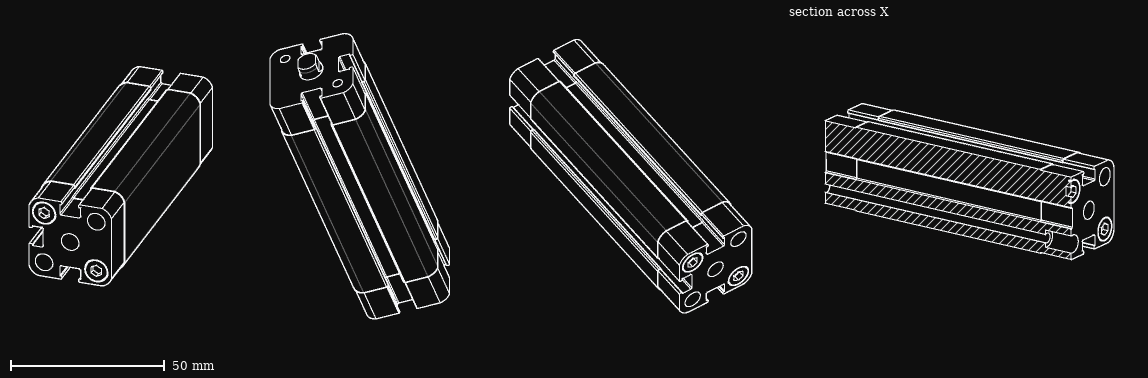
import cadquery as cq
import math

LENGTH = 102.5
FRONT_FACE = -LENGTH / 2
ROD_TIP = LENGTH / 2
ROD_LENGTH = 4.5
REAR_FACE = ROD_TIP - ROD_LENGTH
CAP_LENGTH = 12.3

BARREL_SIZE = 29.0
CAP_INSET = 0.26
CORNER_RADIUS = 4.8
CORNER_CENTRE = 9.8

SLOT_OUTER_HALF = 3.2
BARREL_MOUTH_HALF = 2.6
CAP_MOUTH_HALF = 2.9
SLOT_INNER_HALF = 3.6
LIP_TOP = 0.5
LIP_BOTTOM = 1.1
LIP_DEPTH = 1.4
SLOT_DEPTH = 4.9
SLOT_FLOOR_CHAMFER = 0.4
SLOT_ANGLES = (0, 90, 180)

BOLT_OFFSET = 9.0
THROUGH_DIAMETER = 3.3
BORE_DIAMETER = 6.0
BORE_DEPTH = 10.2
SCREW_BORE_DIAMETER = 8.0
SCREW_HEAD_DIAMETER = 7.5
SCREW_GAP_DEPTH = 1.0
HEX_CORNER_DIAMETER = 4.1
HEX_DEPTH = 2.0

ROD_RADIUS = 8.0 / 2
ROD_TIP_RADIUS = 3.6
ROD_TIP_ROUND_LENGTH = 1.3
FLAT_HALF_WIDTH = 6.0 / 2
FLAT_LENGTH = 3.3


def plane_at(y):
    """Section plane at y; local X is +X, local Y is +Z and negative extrusion runs toward +Y."""
    return cq.Workplane(cq.Plane(origin=(0, y, 0), xDir=(1, 0, 0), normal=(0, -1, 0)))


def bulged_square(start, length, inset):
    """Square prism whose corner arcs share their centres for every inset."""
    half = BARREL_SIZE / 2 - inset
    radius = CORNER_RADIUS - inset
    flat = CORNER_CENTRE + math.sqrt(radius**2 - (half - CORNER_CENTRE)**2)
    middle = CORNER_CENTRE + radius / math.sqrt(2)
    return (
        plane_at(start)
        .moveTo(-flat, half)
        .lineTo(flat, half)
        .threePointArc((middle, middle), (half, flat))
        .lineTo(half, -flat)
        .threePointArc((middle, -middle), (flat, -half))
        .lineTo(-flat, -half)
        .threePointArc((-middle, -middle), (-half, -flat))
        .lineTo(-half, flat)
        .threePointArc((-middle, middle), (-flat, half))
        .close()
        .extrude(-length)
    )


def slot_cutter(start, length, inset, rounded_lip):
    """Undercut slot in the top side; the lip at its mouth is rounded or bevelled."""
    surface = BARREL_SIZE / 2
    lip_end = surface - LIP_DEPTH
    floor = surface - inset - SLOT_DEPTH
    profile = plane_at(start).moveTo(0, surface - inset).lineTo(SLOT_OUTER_HALF, surface - inset)
    if rounded_lip:
        lip_middle = (CAP_MOUTH_HALF, surface - (inset + LIP_DEPTH) / 2)
        profile = profile.threePointArc(lip_middle, (SLOT_OUTER_HALF, lip_end))
    else:
        profile = (
            profile
            .lineTo(BARREL_MOUTH_HALF, surface - LIP_TOP)
            .lineTo(BARREL_MOUTH_HALF, surface - LIP_BOTTOM)
            .lineTo(BARREL_MOUTH_HALF + LIP_DEPTH - LIP_BOTTOM, lip_end)
        )
    half_slot = (
        profile
        .lineTo(SLOT_INNER_HALF, lip_end)
        .lineTo(SLOT_INNER_HALF, floor + SLOT_FLOOR_CHAMFER)
        .lineTo(SLOT_INNER_HALF - SLOT_FLOOR_CHAMFER, floor)
        .lineTo(0, floor)
        .close()
        .extrude(-length)
    )
    return half_slot.union(half_slot.mirror("YZ"))


def slotted_section(start, length, inset, rounded_lip):
    section = bulged_square(start, length, inset)
    cutter = slot_cutter(start, length, inset, rounded_lip)
    for angle in SLOT_ANGLES:
        section = section.cut(cutter.rotate((0, 0, 0), (0, 1, 0), -angle))
    return section


def front_hole(points, diameter, depth):
    return plane_at(FRONT_FACE).pushPoints(points).circle(diameter / 2).extrude(-depth)


def piston_rod():
    """Turned stub with a rounded tip and a sloped run-out behind each wrench flat."""
    round_start = ROD_TIP - ROD_TIP_ROUND_LENGTH
    drop = ROD_RADIUS - ROD_TIP_RADIUS
    round_radius = (ROD_TIP_ROUND_LENGTH**2 + drop**2) / (2 * drop)
    half_angle = math.asin(ROD_TIP_ROUND_LENGTH / round_radius) / 2
    arc_middle = (
        ROD_RADIUS - round_radius * (1 - math.cos(half_angle)),
        round_start + round_radius * math.sin(half_angle),
    )
    rod = (
        cq.Workplane("XY")
        .moveTo(0, REAR_FACE)
        .lineTo(ROD_RADIUS, REAR_FACE)
        .lineTo(ROD_RADIUS, round_start)
        .threePointArc(arc_middle, (ROD_TIP_RADIUS, ROD_TIP))
        .lineTo(0, ROD_TIP)
        .close()
        .revolve(360, (0, 0, 0), (0, 1, 0))
    )
    flat_end = ROD_TIP - FLAT_LENGTH
    run_out = ROD_RADIUS - FLAT_HALF_WIDTH
    flat_cutter = (
        cq.Workplane("XY")
        .polyline([
            (FLAT_HALF_WIDTH, ROD_TIP),
            (FLAT_HALF_WIDTH, flat_end),
            (ROD_RADIUS, flat_end - run_out),
            (ROD_RADIUS, ROD_TIP),
        ])
        .close()
        .extrude(ROD_RADIUS, both=True)
    )
    return rod.cut(flat_cutter).cut(flat_cutter.mirror("YZ"))


barrel_start = FRONT_FACE + CAP_LENGTH
barrel_end = REAR_FACE - CAP_LENGTH
result = slotted_section(barrel_start, barrel_end - barrel_start, 0, rounded_lip=False)
for cap_start in (FRONT_FACE, barrel_end):
    cap = slotted_section(cap_start, CAP_LENGTH, CAP_INSET, rounded_lip=True)
    result = result.union(cap)

hole_points = [(BOLT_OFFSET, BOLT_OFFSET), (-BOLT_OFFSET, -BOLT_OFFSET)]
result = result.cut(front_hole(hole_points, THROUGH_DIAMETER, REAR_FACE - FRONT_FACE))
result = result.cut(front_hole(hole_points + [(0, 0)], BORE_DIAMETER, BORE_DEPTH))

screw_points = [(-BOLT_OFFSET, BOLT_OFFSET), (BOLT_OFFSET, -BOLT_OFFSET)]
clearance = front_hole(screw_points, SCREW_BORE_DIAMETER, SCREW_GAP_DEPTH)
heads = front_hole(screw_points, SCREW_HEAD_DIAMETER, SCREW_GAP_DEPTH)
result = result.cut(clearance.cut(heads))
for x, z in screw_points:
    socket = (
        plane_at(FRONT_FACE)
        .polygon(6, HEX_CORNER_DIAMETER)
        .extrude(-HEX_DEPTH)
        .rotate((0, 0, 0), (0, 1, 0), 90)
        .translate((x, 0, z))
    )
    result = result.cut(socket)

result = result.union(piston_rod())